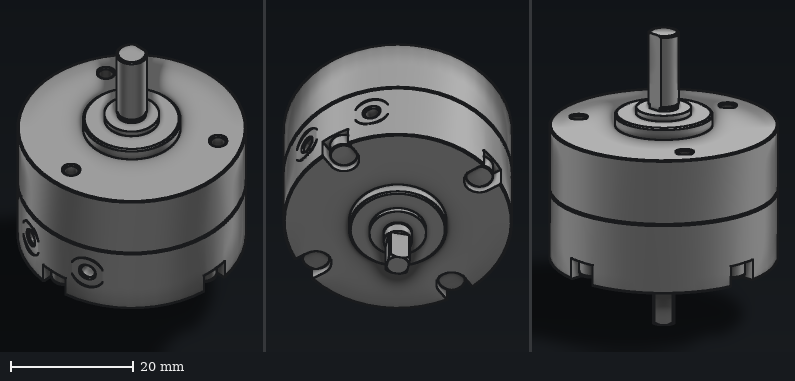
import cadquery as cq
import math


TOTAL_HEIGHT = 50.0
SQUARE_TOP = 6.0
JOURNAL_BOTTOM = 7.9
LOWER_BOSS_BOTTOM = 8.1
LOWER_FLANGE_BOTTOM = 9.0
HOUSING_BOTTOM = 11.0
SPLIT_HEIGHT = 22.9
HOUSING_TOP = 34.0
UPPER_FLANGE_TOP = 36.0
SHOULDER_TOP = 37.0
NECK_TOP = 37.4
OUTPUT_BOTTOM = 37.5

HOUSING_RADIUS = 37.4 / 2
FLANGE_RADIUS = 16.0 / 2
LOWER_BOSS_RADIUS = 9.3 / 2
HOUSING_CHAMFER = 0.2
FLANGE_CHAMFER = 0.3

SCREW_COUNT = 4
SCREW_CIRCLE_RADIUS = 16.0
SLOT_WIDTH = 5.0
SLOT_TOP = 14.6
SCREW_HEAD_DIAMETER = 4.5
SCREW_HEAD_HEIGHT = 2.6
SCREW_HEAD_CHAMFER_WIDTH = 0.1
SCREW_HEAD_CHAMFER_HEIGHT = 0.3

TAP_DIAMETER = 2.45
TAP_DEPTH = 5.35
TAP_MOUTH_DIAMETER = 3.0
MOUNTING_CIRCLE_RADIUS = 14.5
MOUNTING_ANGLES = (30, 150, 270)

PORT_ANGLES = (250, 290)
PORT_HEIGHT = 17.5
PORT_FACE_DIAMETER = 6.0
PORT_FACE_DISTANCE = 18.5

SHOULDER_RADIUS = 9.0 / 2
JOURNAL_RADIUS = 4.7 / 2
RELIEF_RADIUS = 4.6 / 2
OUTPUT_RADIUS = 5.0 / 2
OUTPUT_CHAMFER = 0.25
OUTPUT_LOWER_CHAMFER_HEIGHT = 0.35
OUTPUT_FLAT_DISTANCE = 2.0
SQUARE_SIZE = 3.5
SQUARE_END_CHAMFER = 0.45


def turned_housing():
    """Housing with its flanges, lower boss and stepped bore, and the V groove where the two halves meet."""
    rim = HOUSING_RADIUS - HOUSING_CHAMFER
    flange_rim = FLANGE_RADIUS - FLANGE_CHAMFER
    profile = [
        (JOURNAL_RADIUS, LOWER_BOSS_BOTTOM),
        (LOWER_BOSS_RADIUS, LOWER_BOSS_BOTTOM),
        (LOWER_BOSS_RADIUS, LOWER_FLANGE_BOTTOM),
        (flange_rim, LOWER_FLANGE_BOTTOM),
        (FLANGE_RADIUS, LOWER_FLANGE_BOTTOM + FLANGE_CHAMFER),
        (FLANGE_RADIUS, HOUSING_BOTTOM),
        (rim, HOUSING_BOTTOM),
        (HOUSING_RADIUS, HOUSING_BOTTOM + HOUSING_CHAMFER),
        (HOUSING_RADIUS, SPLIT_HEIGHT - HOUSING_CHAMFER),
        (rim, SPLIT_HEIGHT),
        (HOUSING_RADIUS, SPLIT_HEIGHT + HOUSING_CHAMFER),
        (HOUSING_RADIUS, HOUSING_TOP - HOUSING_CHAMFER),
        (rim, HOUSING_TOP),
        (FLANGE_RADIUS, HOUSING_TOP),
        (FLANGE_RADIUS, UPPER_FLANGE_TOP - FLANGE_CHAMFER),
        (flange_rim, UPPER_FLANGE_TOP),
        (SHOULDER_RADIUS, UPPER_FLANGE_TOP),
        (SHOULDER_RADIUS, HOUSING_TOP),
        (JOURNAL_RADIUS, HOUSING_TOP),
    ]
    return cq.Workplane("XZ").polyline(profile).close().revolve(360, (0, 0), (0, 1))


def screw_slot(angle):
    """Round-ended slot in the lower face, open outward through the rim."""
    depth = SLOT_TOP - HOUSING_BOTTOM
    floor = cq.Workplane("XY").workplane(offset=HOUSING_BOTTOM)
    round_end = floor.center(SCREW_CIRCLE_RADIUS, 0).circle(SLOT_WIDTH / 2).extrude(depth)
    opening_length = HOUSING_RADIUS - SCREW_CIRCLE_RADIUS
    opening = (
        floor.center(SCREW_CIRCLE_RADIUS + opening_length / 2, 0)
        .rect(opening_length, SLOT_WIDTH)
        .extrude(depth)
    )
    return round_end.union(opening).rotate((0, 0, 0), (0, 0, 1), angle)


def screw_head(angle):
    """Cylindrical head hanging from the slot's upper face, chamfered at its free end."""
    head = (
        cq.Workplane("XY")
        .workplane(offset=SLOT_TOP - SCREW_HEAD_HEIGHT)
        .center(SCREW_CIRCLE_RADIUS, 0)
        .circle(SCREW_HEAD_DIAMETER / 2)
        .extrude(SCREW_HEAD_HEIGHT)
        .faces("<Z")
        .chamfer(SCREW_HEAD_CHAMFER_HEIGHT, SCREW_HEAD_CHAMFER_WIDTH)
    )
    return head.rotate((0, 0, 0), (0, 0, 1), angle)


def tapped_hole(face_plane):
    """Blind hole with a 45 degree countersunk mouth, cut against the plane's normal."""
    mouth_depth = (TAP_MOUTH_DIAMETER - TAP_DIAMETER) / 2
    profile = [
        (0, 0),
        (TAP_MOUTH_DIAMETER / 2, 0),
        (TAP_DIAMETER / 2, -mouth_depth),
        (TAP_DIAMETER / 2, -TAP_DEPTH),
        (0, -TAP_DEPTH),
    ]
    tool = cq.Workplane("XZ").polyline(profile).close().revolve(360, (0, 0), (0, 1))
    return cq.Workplane(tool.val().moved(face_plane.location))


def radial_direction(angle):
    return (math.cos(math.radians(angle)), math.sin(math.radians(angle)), 0)


def mounting_hole(angle):
    """Tapped hole in the top face."""
    across, along, _ = radial_direction(angle)
    position = (MOUNTING_CIRCLE_RADIUS * across, MOUNTING_CIRCLE_RADIUS * along, HOUSING_TOP)
    return tapped_hole(cq.Plane(origin=position))


def port(angle):
    """Radial tapped hole that starts from a flat round spot face."""
    outward = radial_direction(angle)
    position = (PORT_FACE_DISTANCE * outward[0], PORT_FACE_DISTANCE * outward[1], PORT_HEIGHT)
    face_plane = cq.Plane(origin=position, xDir=(0, 0, 1), normal=outward)
    spot_face = (
        cq.Workplane(face_plane)
        .circle(PORT_FACE_DIAMETER / 2)
        .extrude(HOUSING_RADIUS - PORT_FACE_DISTANCE)
    )
    return spot_face.union(tapped_hole(face_plane))


def make_housing():
    housing = turned_housing()
    for index in range(SCREW_COUNT):
        angle = index * 360 / SCREW_COUNT
        housing = housing.cut(screw_slot(angle)).union(screw_head(angle))
    for angle in MOUNTING_ANGLES:
        housing = housing.cut(mounting_hole(angle))
    for angle in PORT_ANGLES:
        housing = housing.cut(port(angle))
    return housing.solids()


def turned_shaft():
    """Lower end, journal, shoulder, neck, groove and output end, from the bottom up."""
    profile = [
        (0, 0),
        (RELIEF_RADIUS - SQUARE_END_CHAMFER, 0),
        (RELIEF_RADIUS, SQUARE_END_CHAMFER),
        (RELIEF_RADIUS, JOURNAL_BOTTOM),
        (JOURNAL_RADIUS, JOURNAL_BOTTOM),
        (JOURNAL_RADIUS, HOUSING_TOP),
        (SHOULDER_RADIUS, HOUSING_TOP),
        (SHOULDER_RADIUS, SHOULDER_TOP),
        (JOURNAL_RADIUS, SHOULDER_TOP),
        (JOURNAL_RADIUS, NECK_TOP),
        (RELIEF_RADIUS, NECK_TOP),
        (RELIEF_RADIUS, OUTPUT_BOTTOM),
        (OUTPUT_RADIUS, OUTPUT_BOTTOM + OUTPUT_LOWER_CHAMFER_HEIGHT),
        (OUTPUT_RADIUS, TOTAL_HEIGHT - OUTPUT_CHAMFER),
        (OUTPUT_RADIUS - OUTPUT_CHAMFER, TOTAL_HEIGHT),
        (0, TOTAL_HEIGHT),
    ]
    return cq.Workplane("XZ").polyline(profile).close().revolve(360, (0, 0), (0, 1))


def square_trim():
    """Material to remove so that a square with rounded corners on the X and Y axes remains."""
    return (
        cq.Workplane("XY")
        .circle(OUTPUT_RADIUS)
        .extrude(SQUARE_TOP)
        .cut(cq.Workplane("XY").rect(SQUARE_SIZE, SQUARE_SIZE).extrude(SQUARE_TOP))
        .rotate((0, 0, 0), (0, 0, 1), 45)
    )


def flat_trim():
    """Segment to remove for the flat on the +Y side, above the shoulder."""
    return cq.Workplane("XY").box(
        2 * OUTPUT_RADIUS,
        OUTPUT_RADIUS - OUTPUT_FLAT_DISTANCE,
        TOTAL_HEIGHT - SHOULDER_TOP,
        centered=(True, False, False),
    ).translate((0, OUTPUT_FLAT_DISTANCE, SHOULDER_TOP))


def make_shaft():
    return turned_shaft().cut(square_trim()).cut(flat_trim()).solids()


housing = make_housing()
shaft = make_shaft()
result = cq.Compound.makeCompound([housing.val(), shaft.val()])